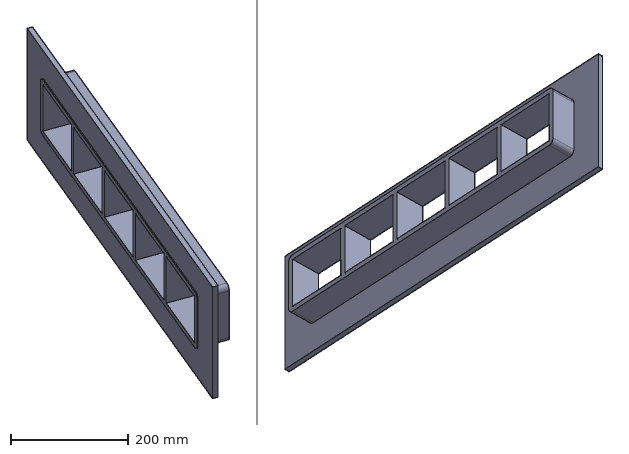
import cadquery as cq

plate_length = 782.5
plate_height = 241.0
plate_thickness = 10.0

opening_count = 5
opening_height = 100.0
wall = 10.0
frame_length = 660.5
pitch = (frame_length - wall) / opening_count
opening_width = pitch - wall

frame_depth = 60.0
frame_lip = 2.0
corner_radius = 10.0
frame_height = opening_height + 2 * wall


def block(length, depth, height, front):
    """Box centred in X and Z, reaching back along +Y from its front face."""
    return cq.Workplane("XY").box(length, depth, height, centered=(True, False, True)).translate((0, front, 0))


plate = block(plate_length, plate_thickness, plate_height, frame_lip)
frame = block(frame_length, frame_depth, frame_height, 0).edges("|Y").fillet(corner_radius)
result = plate.union(frame)

for index in range(opening_count):
    centre_x = (index - (opening_count - 1) / 2) * pitch
    opening = block(opening_width, frame_depth, opening_height, 0).translate((centre_x, 0, 0))
    result = result.cut(opening)